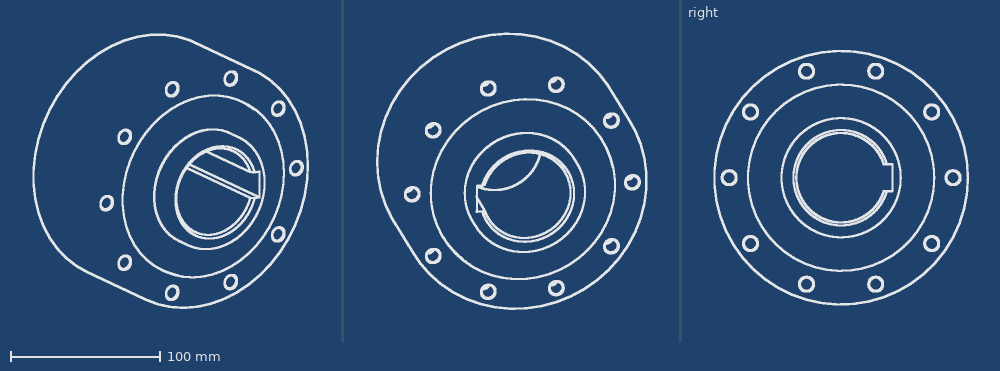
import cadquery as cq
import math

body_radius = 85.0
body_width = 78.0
plate_radius = 62.4
plate_width = 89.0
hub_radius = 40.0
hub_length = 114.0

body_round = 2.0
plate_round = 1.7
hub_round = 3.0

groove_radius = 41.8

bore_radius = 30.0
bore_chamfer = 2.0
keyway_width = 18.0
keyway_reach = 34.3

hole_count = 10
hole_circle_radius = 75.0
hole_diameter = 8.8
hole_mouth_diameter = 10.0
hole_depth = 20.0
drill_tip_angle = 118.0


def centered_disc(radius, length, edge_round):
    """Cylinder along X, centered at the origin, with both rims rounded."""
    disc = cq.Workplane("YZ", origin=(-length / 2, 0, 0)).circle(radius).extrude(length)
    return disc.faces("<X or >X").edges().fillet(edge_round)


def revolve_about_x(points):
    """Solid turned about X from a closed outline of (x, radius) points."""
    return cq.Workplane("XY").polyline(points).close().revolve(360, (0, 0, 0), (1, 0, 0))


def both_ends(solid):
    """The solid together with its mirror image across X = 0."""
    return solid.union(solid.mirror("YZ"))


def hub_groove():
    """Groove at the -X plate face: the plate rounds over inward until it meets the hub."""
    face_x = -plate_width / 2
    lip_round = groove_radius - hub_radius
    diagonal = lip_round * math.sqrt(0.5)
    outline = (
        cq.Workplane("XY")
        .moveTo(face_x, hub_radius)
        .lineTo(face_x, groove_radius)
        .threePointArc(
            (face_x + lip_round - diagonal, hub_radius + lip_round - diagonal),
            (face_x + lip_round, hub_radius),
        )
        .close()
    )
    return outline.revolve(360, (0, 0, 0), (1, 0, 0))


def bore_cutter():
    """Through bore with a chamfer at each mouth."""
    end_x = hub_length / 2
    mouth_radius = bore_radius + bore_chamfer
    return revolve_about_x([
        (-end_x, 0),
        (-end_x, mouth_radius),
        (-end_x + bore_chamfer, bore_radius),
        (end_x - bore_chamfer, bore_radius),
        (end_x, mouth_radius),
        (end_x, 0),
    ])


def keyway_cutter():
    """Full-length keyway on the +Y side of the bore."""
    return cq.Workplane("XY").box(
        hub_length, keyway_reach, keyway_width, centered=(True, False, True)
    )


def face_holes():
    """Ring of drilled, chamfered blind holes in the -X body face."""
    face_x = -body_width / 2
    radius = hole_diameter / 2
    mouth_radius = hole_mouth_diameter / 2
    mouth_depth = mouth_radius - radius
    tip_length = radius / math.tan(math.radians(drill_tip_angle / 2))
    hole = revolve_about_x([
        (face_x, 0),
        (face_x, mouth_radius),
        (face_x + mouth_depth, radius),
        (face_x + hole_depth, radius),
        (face_x + hole_depth + tip_length, 0),
    ]).translate((0, hole_circle_radius, 0))

    holes = cq.Workplane("XY")
    for index in range(hole_count):
        angle = index * 360 / hole_count
        holes = holes.add(hole.rotate((0, 0, 0), (1, 0, 0), angle))
    return holes.combine()


body = centered_disc(body_radius, body_width, body_round)
plate = centered_disc(plate_radius, plate_width, plate_round)
hub = centered_disc(hub_radius, hub_length, hub_round)

result = (
    body.union(plate)
    .union(hub)
    .cut(both_ends(hub_groove()))
    .cut(bore_cutter())
    .cut(keyway_cutter())
    .cut(both_ends(face_holes()))
)